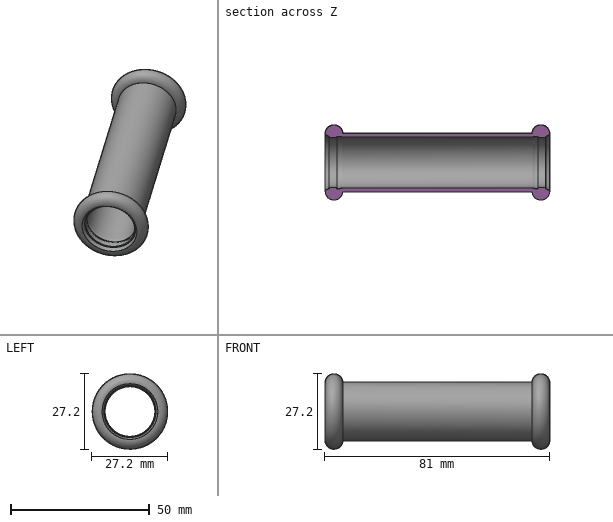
import cadquery as cq

length = 81.0
bead_diameter = 27.2
bead_width = 6.5
tube_diameter = 21.3

mouth_diameter = 20.1
socket_diameter = 18.7
bore_diameter = 18.3
seal_diameter = 17.9

lead_in_depth = 1.45
seal_start_depth = 1.5
seal_end_depth = 4.3
taper_start_depth = 5.35
taper_end_depth = 6.2

bead_radius = bead_width / 2
bead_ring_radius = bead_diameter / 2 - bead_radius


def cylinder_along_x(diameter, start, end):
    """Solid cylinder on the X axis between two positions."""
    return cq.Workplane("YZ", origin=(start, 0, 0)).circle(diameter / 2).extrude(end - start)


def make_bead():
    """Ring of round section at the -X end."""
    return (
        cq.Workplane("XY")
        .center(-length / 2 + bead_radius, bead_ring_radius)
        .circle(bead_radius)
        .revolve(360, (0, -bead_ring_radius, 0), (1, -bead_ring_radius, 0))
    )


def make_socket():
    """Space inside the -X end: tapered mouth, raised seal band, recess and a taper to the bore."""
    start = -length / 2
    return (
        cq.Workplane("XY")
        .moveTo(start, 0)
        .lineTo(start, mouth_diameter / 2)
        .lineTo(start + lead_in_depth, socket_diameter / 2)
        .lineTo(start + seal_start_depth, seal_diameter / 2)
        .lineTo(start + seal_end_depth, seal_diameter / 2)
        .lineTo(start + seal_end_depth, socket_diameter / 2)
        .lineTo(start + taper_start_depth, socket_diameter / 2)
        .lineTo(start + taper_end_depth, bore_diameter / 2)
        .lineTo(start + taper_end_depth, 0)
        .close()
        .revolve(360, (0, 0, 0), (1, 0, 0))
    )


def at_both_ends(shape):
    """The shape together with its mirror image at the +X end."""
    return shape.union(shape.mirror("YZ"))


tube = cylinder_along_x(tube_diameter, -length / 2 + bead_radius, length / 2 - bead_radius)
bore = cylinder_along_x(bore_diameter, -length / 2 + taper_end_depth, length / 2 - taper_end_depth)

result = tube.union(at_both_ends(make_bead())).cut(bore).cut(at_both_ends(make_socket()))